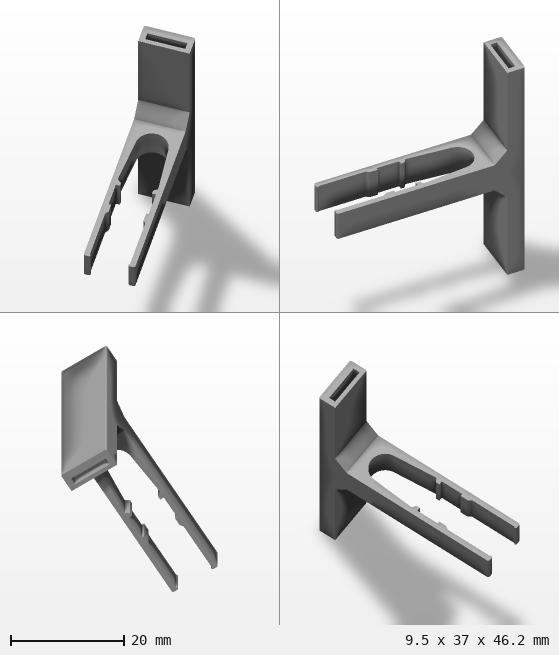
import cadquery as cq
import math

width = 9.5
length = 37.0
height = 46.2
half_width = width / 2

plate_thickness = 3.55
fork_height = 5.75
gusset_size = 2.5
corner_radius = 0.32

slot_width = 7.4
slot_back = 1.5
slot_front = 2.75
slot_depth = (height - fork_height) / 2 - gusset_size
slot_back_taper = 0.1

arm_thickness = 1.05
opening_half = half_width - arm_thickness
root_radius = 3.0
root_start = 8.05
root_center = root_start + root_radius
taper_angle = math.radians(4.9)

hook_start = 19.5
hook_crest = 20.0
hook_end = 20.7
hook_rise = 0.75
stop_start = 25.15
stop_crest_end = 26.65
stop_end = 27.3
stop_rise = 0.45
lip_length = 0.5
lip_rise = 0.2
lip_bevel = 0.2


def make_side_profile():
    """T-shaped plate and fork with 45 degree gussets, extruded across X."""
    half_height = height / 2
    half_fork = fork_height / 2
    gusset_end = plate_thickness + gusset_size
    upper = [
        (0, half_height),
        (-plate_thickness, half_height),
        (-plate_thickness, half_fork + gusset_size),
        (-gusset_end, half_fork),
        (-length, half_fork),
    ]
    lower = [(y, -z) for y, z in reversed(upper)]
    body = cq.Workplane("YZ").polyline(upper + lower).close().extrude(half_width, both=True)
    body = body.faces(">Y").edges("|Z").fillet(corner_radius)
    return body.faces("<Y").edges("|Z").fillet(corner_radius)


def make_fork_opening():
    """Opening between the arms, leaving the hooks, stops and end lips."""
    tangent_x = root_radius * math.cos(taper_angle)
    tangent_y = root_center - root_radius * math.sin(taper_angle)
    taper_end = tangent_y + (opening_half - tangent_x) / math.tan(taper_angle)
    hook_x = opening_half - hook_rise
    stop_x = opening_half - stop_rise
    lip_x = opening_half - lip_rise
    right_side = [
        (tangent_x, -tangent_y),
        (opening_half, -taper_end),
        (opening_half, -hook_start),
        (hook_x, -hook_crest),
        (hook_x, -hook_end),
        (opening_half, -hook_end),
        (opening_half, -stop_start),
        (stop_x, -stop_start),
        (stop_x, -stop_crest_end),
        (opening_half, -stop_end),
        (opening_half, lip_length - length),
        (lip_x, lip_length - lip_bevel - length),
        (lip_x, lip_bevel - length),
        (lip_x + lip_bevel, -length),
    ]
    left_side = [(-x, y) for x, y in reversed(right_side)]
    return (
        cq.Workplane("XY")
        .polyline(right_side + left_side)
        .threePointArc((0, -root_start), right_side[0])
        .close()
        .extrude(fork_height / 2, both=True)
    )


def make_top_slot():
    """Blind slot whose back wall leans slightly forward toward its floor."""
    top = height / 2
    floor = top - slot_depth
    return (
        cq.Workplane("YZ")
        .polyline([
            (-slot_back, top),
            (-slot_front, top),
            (-slot_front, floor),
            (-slot_back - slot_back_taper, floor),
        ])
        .close()
        .extrude(slot_width / 2, both=True)
    )


top_slot = make_top_slot()
bottom_slot = top_slot.mirror("XY")
result = make_side_profile().cut(make_fork_opening()).cut(top_slot).cut(bottom_slot)